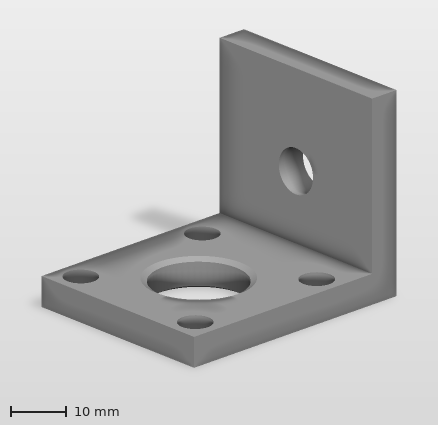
import cadquery as cq
import math

width = 40.0
length = 50.0
height = 40.0
thickness = 6.0

bore_diameter = 18.7
bore_mouth_diameter = 21.0
bore_mouth_angle = 30.0
bore_front_offset = 20.0

bolt_diameter = 6.6
bolt_spacing = 30.0

wall_hole_diameter = 9.0
wall_hole_height = 20.0


def make_angle():
    """L-shaped body, centred on X, with the front edge at Y = 0."""
    base = cq.Workplane("XY").box(width, length, thickness, centered=(True, False, False))
    wall = (
        cq.Workplane("XY")
        .box(width, thickness, height, centered=(True, False, False))
        .translate((0, length - thickness, 0))
    )
    return base.union(wall)


def make_bore():
    """Straight bore with a matching conical mouth on both faces of the base."""
    radius = bore_diameter / 2
    mouth_radius = bore_mouth_diameter / 2
    mouth_depth = (mouth_radius - radius) * math.tan(math.radians(bore_mouth_angle))
    profile = [
        (0, 0),
        (mouth_radius, 0),
        (radius, mouth_depth),
        (radius, thickness - mouth_depth),
        (mouth_radius, thickness),
        (0, thickness),
    ]
    return (
        cq.Workplane("XZ")
        .polyline(profile)
        .close()
        .revolve(360, (0, 0, 0), (0, 1, 0))
        .translate((0, bore_front_offset, 0))
    )


def make_bolt_holes():
    return (
        cq.Workplane("XY")
        .center(0, bore_front_offset)
        .rect(bolt_spacing, bolt_spacing, forConstruction=True)
        .vertices()
        .circle(bolt_diameter / 2)
        .extrude(thickness)
    )


def make_wall_hole():
    return (
        cq.Workplane("XZ", origin=(0, length, wall_hole_height))
        .circle(wall_hole_diameter / 2)
        .extrude(thickness)
    )


result = make_angle().cut(make_bore()).cut(make_bolt_holes()).cut(make_wall_hole())